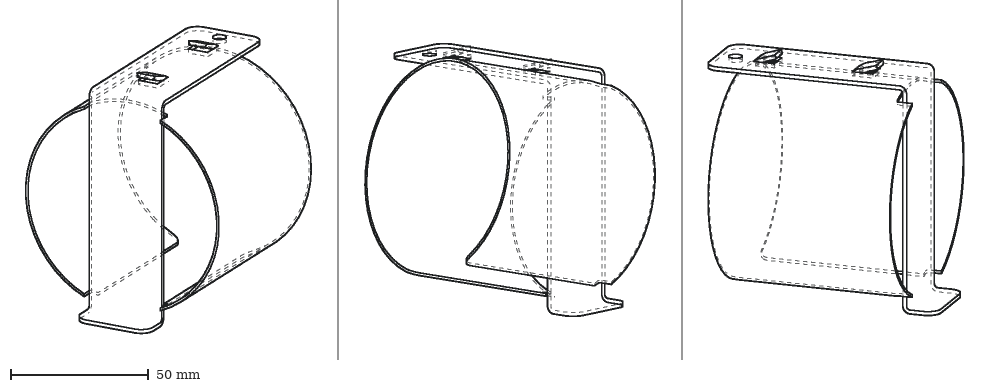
import cadquery as cq
import math


shell_diameter = 80.0
shell_wall = 1.0
shell_length = 70.0
outer_radius = shell_diameter / 2
bottom_gap = 26.85
gap_corner_radius = 4.0
notch_width = 31.5
notch_depth = 6.0
notch_corner_radius = 0.9

sheet = 1.5
bracket_width = 30.0
bracket_length = 89.5
back_overhang = 10.5
wall_inset = 2.4
bend_radius = 2.9
plate_top = 42.7
foot_bottom = -43.4
plate_corner_radius = 5.0
hole_diameter = 5.0
hole_from_back = 6.7
bracket_back = shell_length + back_overhang
foot_front = bracket_back - bracket_length

tab_width = 8.0
tab_rise = 3.2
window_length = 8.05
tab_corner_radius = 1.3
tab_layouts = [(15.0, 8.6, 1.4, 18.5), (53.1, 9.6, 2.1, 16.0)]


def box_between(x_start, x_end, y_start, y_end, z_start, z_end):
    """Box spanning the given limits."""
    box = cq.Workplane("XY").box(x_end - x_start, y_end - y_start, z_end - z_start, centered=False)
    return box.translate((x_start, y_start, z_start))


def make_tube():
    """Full thin tube from which the shell is cut."""
    tube = cq.Workplane("XZ").circle(outer_radius).circle(outer_radius - shell_wall)
    return tube.extrude(-shell_length)


def make_front_notch():
    """Slot at the front rim, top and bottom, that clears the bracket wall."""
    notch = box_between(-notch_width / 2, notch_width / 2, 0, notch_depth, -outer_radius, outer_radius)
    return notch.edges("|Z and >Y").fillet(notch_corner_radius)


def make_bottom_gap():
    """Lengthwise gap whose sides flare out in a round at the back rim."""
    half_gap = bottom_gap / 2
    flare = half_gap + gap_corner_radius
    flare_start = shell_length - gap_corner_radius
    middle = gap_corner_radius * (1 - math.sqrt(0.5))
    return (
        cq.Workplane("XY")
        .moveTo(-half_gap, 0)
        .lineTo(half_gap, 0)
        .lineTo(half_gap, flare_start)
        .threePointArc((half_gap + middle, shell_length - middle), (flare, shell_length))
        .lineTo(-flare, shell_length)
        .threePointArc((-half_gap - middle, shell_length - middle), (-half_gap, flare_start))
        .close()
        .extrude(-outer_radius)
    )


def make_shell():
    """C-shaped shell: closed at the top, open along the bottom."""
    return make_tube().cut(make_front_notch()).cut(make_bottom_gap())


def make_bent_strip():
    """Z-shaped strip: top plate, front wall and foot, joined by round bends."""
    inner_bend = bend_radius - sheet
    wall_back = wall_inset + sheet
    plate_underside = plate_top - sheet
    foot_top = foot_bottom + sheet
    strip = (
        cq.Workplane("YZ")
        .moveTo(bracket_back, plate_top)
        .lineTo(wall_inset + bend_radius, plate_top)
        .radiusArc((wall_inset, plate_top - bend_radius), -bend_radius)
        .lineTo(wall_inset, foot_top + inner_bend)
        .radiusArc((wall_inset - inner_bend, foot_top), inner_bend)
        .lineTo(foot_front, foot_top)
        .lineTo(foot_front, foot_bottom)
        .lineTo(wall_back - bend_radius, foot_bottom)
        .radiusArc((wall_back, foot_bottom + bend_radius), -bend_radius)
        .lineTo(wall_back, plate_underside - inner_bend)
        .radiusArc((wall_back + inner_bend, plate_underside), inner_bend)
        .lineTo(bracket_back, plate_underside)
        .close()
        .extrude(bracket_width / 2, both=True)
    )
    strip = strip.faces(">Y").edges("|Z").fillet(plate_corner_radius)
    return strip.faces("<Y").edges("|Z").fillet(plate_corner_radius)


def make_tab_window(root_y):
    """Opening left in the top plate below a tab."""
    return box_between(-tab_width / 2, tab_width / 2, root_y - window_length, root_y, plate_top - sheet, plate_top)


def make_tab(root_y, length, facet, slope):
    """Tongue rising from the back edge of its window toward the front."""
    run = sheet * math.sin(math.radians(slope))
    drop = sheet * math.cos(math.radians(slope))
    tip_top = plate_top + tab_rise
    facet_top = tip_top - (length - run - facet) * math.tan(math.radians(slope))
    tab = (
        cq.Workplane("YZ")
        .moveTo(root_y, plate_top)
        .lineTo(root_y - facet, facet_top)
        .lineTo(root_y - length + run, tip_top)
        .lineTo(root_y - length, tip_top - drop)
        .lineTo(root_y, plate_top - sheet)
        .close()
        .extrude(tab_width / 2, both=True)
    )
    rounding = (
        cq.Workplane("XY")
        .rect(tab_width, 2 * length)
        .extrude(tab_rise + sheet)
        .edges("|Z")
        .fillet(tab_corner_radius)
        .translate((0, root_y, plate_top - sheet))
    )
    return tab.intersect(rounding)


def make_bracket():
    """Bracket with its mounting hole and both lanced tabs."""
    bracket = make_bent_strip()
    hole = cq.Workplane("XY").circle(hole_diameter / 2).extrude(sheet)
    bracket = bracket.cut(hole.translate((0, bracket_back - hole_from_back, plate_top - sheet)))
    for root_from_back, length, facet, slope in tab_layouts:
        root_y = bracket_back - root_from_back
        bracket = bracket.cut(make_tab_window(root_y))
        bracket = bracket.union(make_tab(root_y, length, facet, slope))
    return bracket


bracket = make_bracket()
shell = make_shell()

result = cq.Compound.makeCompound([bracket.solids().val(), shell.solids().val()])